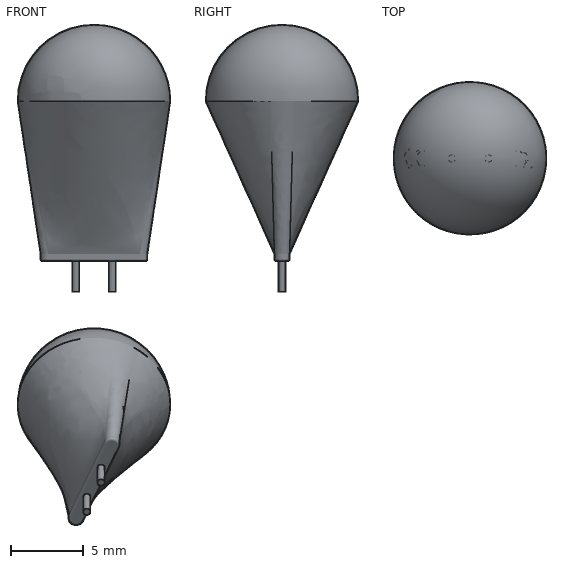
import cadquery as cq
import math

dome_radius = 5.25

base_length = 7.35
base_width = 1.05
base_height = 0.5
base_edge_fillet = 0.15

taper_height = 2 * dome_radius
taper_end_half_width = 0.8

pin_diameter = 0.5
pin_pitch = 2.5
pin_length = 2.1

mark_size = 3.5
mark_arm_width = mark_size / 3
mark_corner_radius = 0.4
mark_offset_x = -dome_radius / 2
mark_prism_reach = dome_radius + 1

base_top_z = -taper_height
base_bottom_z = base_top_z - base_height


def make_dome():
    """Upper half of a sphere, standing on the XY plane."""
    return (
        cq.Workplane("XZ")
        .moveTo(0, 0)
        .lineTo(dome_radius, 0)
        .radiusArc((0, dome_radius), -dome_radius)
        .close()
        .revolve(360, (0, 0), (0, 1))
    )


def make_taper():
    """Straight-sided transition from the dome's circle to the slot outline of the base plate."""
    corner_x = math.sqrt(dome_radius**2 - taper_end_half_width**2)
    circle = (
        cq.Workplane("XY")
        .moveTo(corner_x, taper_end_half_width)
        .threePointArc((0, dome_radius), (-corner_x, taper_end_half_width))
        .threePointArc((-dome_radius, 0), (-corner_x, -taper_end_half_width))
        .threePointArc((0, -dome_radius), (corner_x, -taper_end_half_width))
        .threePointArc((dome_radius, 0), (corner_x, taper_end_half_width))
        .wire()
        .val()
    )
    half_width = base_width / 2
    half_length = base_length / 2
    straight_x = half_length - half_width
    slot = (
        cq.Workplane("XY", origin=(0, 0, base_top_z))
        .moveTo(straight_x, half_width)
        .lineTo(-straight_x, half_width)
        .threePointArc((-half_length, 0), (-straight_x, -half_width))
        .lineTo(straight_x, -half_width)
        .threePointArc((half_length, 0), (straight_x, half_width))
        .wire()
        .val()
    )
    return cq.Workplane(cq.Solid.makeLoft([circle, slot], True))


def make_base():
    """Base plate with rounded ends and a softened lower edge."""
    return (
        cq.Workplane("XY", origin=(0, 0, base_bottom_z))
        .slot2D(base_length, base_width)
        .extrude(base_height)
        .faces("<Z")
        .edges()
        .fillet(base_edge_fillet)
    )


def make_pins():
    """Two round pins hanging below the base plate."""
    return (
        cq.Workplane("XY", origin=(0, 0, base_bottom_z))
        .rarray(pin_pitch, 1, 2, 1)
        .circle(pin_diameter / 2)
        .extrude(-pin_length)
    )


def make_mark_arm(size_x, size_z):
    """One bar of the plus, as a prism along Y with rounded corners."""
    return (
        cq.Workplane("XZ", origin=(mark_offset_x, 0, 0))
        .rect(size_x, size_z)
        .extrude(mark_prism_reach, both=True)
        .edges("|Y")
        .fillet(mark_corner_radius)
    )


def outline_marks(body):
    """Split the body's outer faces along the plus outlines, leaving its shape unchanged."""
    level_arm = make_mark_arm(mark_size, mark_arm_width)
    upright_arm = make_mark_arm(mark_arm_width, mark_size)
    plus = level_arm.union(upright_arm)
    return body.cut(plus).union(body.intersect(plus), clean=False)


body = make_dome().union(make_taper()).union(make_base())
part = outline_marks(body).union(make_pins(), clean=False)
result = cq.Workplane(part.solids().val())